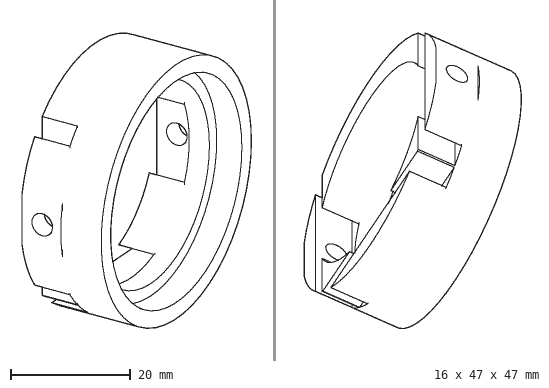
import cadquery as cq

outer_diameter = 47.0
bore_diameter = 36.4
ring_length = 16.0

counterbore_diameter = 40.98
counterbore_depth = 5.0

slot_depth = 7.0
slot_width = 2.35
slot_inner_offset = 16.75

flat_length = 8.0
flat_width = 9.65
pin_hole_diameter = 4.05
pin_hole_x = flat_length / 2

outer_radius = outer_diameter / 2
flat_offset = (outer_radius**2 - (flat_width / 2) ** 2) ** 0.5


def disc(diameter, start_x, length):
    """Solid cylinder along X, starting at start_x."""
    return cq.Workplane("YZ", origin=(start_x, 0, 0)).circle(diameter / 2).extrude(length)


def side_cutter(depth, inner_offset, thickness):
    """Block on the +Y side that crosses the whole ring in Z, cutting from the slotted face."""
    return (
        cq.Workplane("XY")
        .box(depth, thickness, outer_diameter, centered=(False, False, True))
        .translate((0, inner_offset, 0))
    )


result = disc(outer_diameter, 0, ring_length).cut(disc(bore_diameter, 0, ring_length))
result = result.cut(disc(counterbore_diameter, ring_length - counterbore_depth, counterbore_depth))

slot = side_cutter(slot_depth, slot_inner_offset, slot_width)
for angle in (0, 180, 270):
    result = result.cut(slot.rotate((0, 0, 0), (1, 0, 0), angle))

flat = side_cutter(flat_length, flat_offset, outer_radius - flat_offset)
for angle in (0, 180):
    result = result.cut(flat.rotate((0, 0, 0), (1, 0, 0), angle))

pin_hole = (
    cq.Workplane("XZ", origin=(pin_hole_x, 0, 0))
    .circle(pin_hole_diameter / 2)
    .extrude(outer_radius, both=True)
)
result = result.cut(pin_hole)